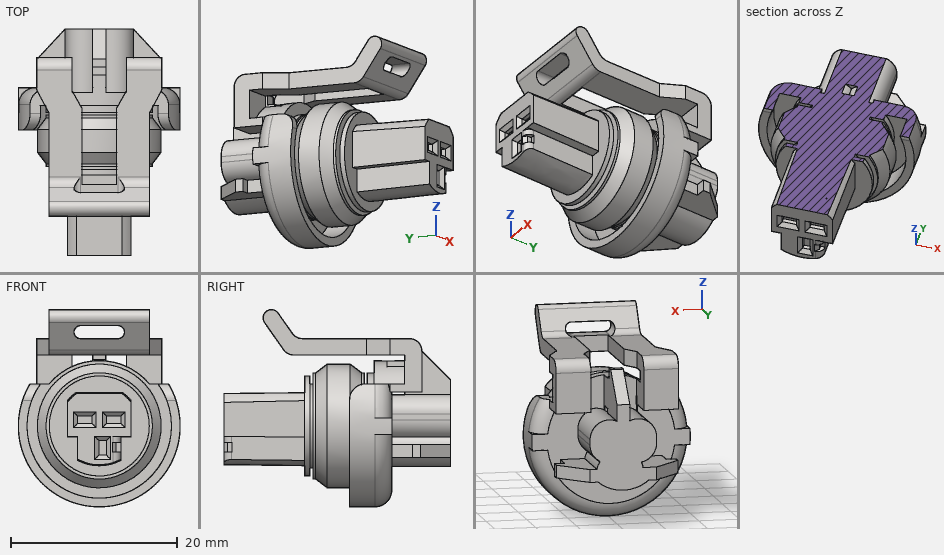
import cadquery as cq
import math


overall_length = 27.2
shell_rear = 7.05
shell_floor = 9.17
shell_front = 12.14
shell_radius = 9.715
shell_bore_radius = 8.66
shell_rear_fillet = 2.05
shell_cut_height = 5.05
shell_tip_fillet = 1.97
collar_radius = 7.84
neck_radius = 5.05
ring_radius = 12.75 / 2
seal_radius = 14.85 / 2
flange_radius = 12.0 / 2
ring_front = 10.03
seal_rear = 10.34
seal_lip_length = 0.33
seal_cone_length = 1.38
seal_front = 16.51
flange_rear = 16.88
nose_start = 17.5
side_key_width = 1.97
side_key_z = -0.05

housing_radius = 2.32
upper_housing_flat = 0.71
lower_housing_flat = 1.1
base_radius = 4.9
upper_housing_x = 1.76
upper_housing_z = 1.075
lower_housing_x = 0.41
lower_housing_z = -2.63

rib_width = 1.56
rib_slope_length = 3.62
rib_crest_length = 0.98
rib_step_drop = 1.22
rib_step_end = 5.52
top_rib_base = 5.54
top_rib_crest = top_rib_base + rib_slope_length
side_rib_base = 4.08
side_rib_crest = 7.45
side_rib_z = -3.01

arm_rear = 3.45
arm_thickness = 1.99
arm_leg_thickness = rib_step_end - arm_rear
arm_top = 10.48
arm_bend_radius = 1.47
arm_rear_outer_x = 7.51
arm_rear_inner_x = 3.24
arm_front_outer_x = 6.03
arm_front_inner_x = 2.09
outer_taper_start = 7.3
outer_taper_end = 10.09
inner_taper_start = 7.47
inner_taper_end = 9.5
arm_gap_front = 18.69
foot_bottom = 4.06
collar_gap_front = 7.63
collar_gap_floor = 1.43
lever_angle = math.radians(55)
lever_tip_radius = 1.0
lever_tip_depth = 21.5
lever_top = 13.955
lever_bend_radius = 1.5
lever_slot_length = 6.03
lever_slot_height = 1.54

nose_half_width = 3.82
nose_keel_half_width = 2.59
nose_root_radius, nose_tip_radius = 4.88, 4.75
nose_root_top, nose_tip_top = 4.0, 3.9
nose_root_ledge, nose_tip_ledge = -1.35, -1.24
nose_root_keel, nose_tip_keel = -4.78, -4.66
keel_radius = 5.5
keel_edge_radius = 0.92

opening_long = 2.74
opening_short = 1.9
lead_in = 0.49
opening_depth = 1.0
upper_opening_x = 1.73
upper_opening_z = 0.74

notch_inner_x = 1.58
notch_wall_x = 2.03
notch_bottom = -3.14
notch_top = -2.0
notch_depth = 1.0


def plane_at(depth):
    """Workplane across the body axis; its extrusions run toward the nose."""
    return cq.Workplane("XZ", origin=(0, -depth, 0))


def box(x_range, depth_range, z_range):
    x0, x1 = x_range
    d0, d1 = depth_range
    z0, z1 = z_range
    return cq.Workplane("XY").box(x1 - x0, d1 - d0, z1 - z0, centered=False).translate((x0, -d1, z0))


def disc(radius, start, end):
    return plane_at(start).circle(radius).extrude(end - start)


def both_sides(body):
    return body.union(body.mirror("YZ"))


def shell():
    cup = disc(shell_radius, shell_rear, shell_front).faces(">Y").edges().fillet(shell_rear_fillet)
    cup = cup.cut(disc(shell_bore_radius, shell_floor, shell_front))
    above = box((-shell_radius, shell_radius), (shell_rear, shell_front), (shell_cut_height, shell_radius))
    cup = cup.cut(above)
    corner = box(
        (-shell_radius, shell_radius),
        (shell_front - shell_tip_fillet, shell_front),
        (shell_cut_height - shell_tip_fillet, shell_cut_height),
    )
    round_over = (
        cq.Workplane("YZ", origin=(-shell_radius, 0, 0))
        .center(shell_tip_fillet - shell_front, shell_cut_height - shell_tip_fillet)
        .circle(shell_tip_fillet)
        .extrude(2 * shell_radius)
    )
    cup = cup.cut(corner.cut(round_over))
    side_keys = box(
        (-shell_radius, shell_radius),
        (shell_rear, shell_floor),
        (side_key_z - side_key_width / 2, side_key_z + side_key_width / 2),
    )
    return cup.union(side_keys.intersect(disc(shell_radius, shell_rear, shell_floor)))


def collar():
    ring = disc(collar_radius, rib_step_end, shell_floor)
    lower_part = box(
        (-collar_radius, collar_radius), (rib_step_end, shell_rear), (-collar_radius, foot_bottom)
    )
    return ring.cut(lower_part)


def seal_and_flange():
    cone_start = seal_rear + seal_lip_length
    cone_end = seal_front - seal_lip_length
    profile = [
        (0, shell_floor),
        (ring_radius, shell_floor),
        (ring_radius, ring_front),
        (neck_radius, ring_front),
        (neck_radius, seal_rear),
        (ring_radius, seal_rear),
        (ring_radius, cone_start),
        (seal_radius, cone_start + seal_cone_length),
        (seal_radius, cone_end - seal_cone_length),
        (ring_radius, cone_end),
        (ring_radius, seal_front),
        (neck_radius, seal_front),
        (neck_radius, flange_rear),
        (flange_radius, flange_rear),
        (flange_radius, nose_start),
        (0, nose_start),
    ]
    points = [(radius, -depth) for radius, depth in profile]
    return cq.Workplane("XY").polyline(points).close().revolve(360, (0, 0, 0), (0, 1, 0))


def wire_housings():
    upper = (
        plane_at(0)
        .pushPoints([(-upper_housing_x, upper_housing_z), (upper_housing_x, upper_housing_z)])
        .slot2D(2 * housing_radius + upper_housing_flat, 2 * housing_radius, 90)
        .extrude(shell_floor)
    )
    lower = (
        plane_at(0)
        .center(lower_housing_x, lower_housing_z)
        .slot2D(2 * housing_radius + lower_housing_flat, 2 * housing_radius)
        .extrude(shell_floor)
    )
    below_ribs = box((-base_radius, base_radius), (0, shell_floor), (-base_radius, side_rib_z))
    base = disc(base_radius, 0, shell_floor).intersect(below_ribs)
    lower = lower.intersect(disc(base_radius, 0, shell_floor))
    return upper.union(lower).union(base)


def rib_outline(base, crest, end_depth):
    """Outline (depth, height) of a rib that slopes up to a crest and then steps down."""
    crest_end = rib_slope_length + rib_crest_length
    step = crest - rib_step_drop
    return [
        (0, 0),
        (0, base),
        (rib_slope_length, crest),
        (crest_end, crest),
        (crest_end, step),
        (end_depth, step),
        (end_depth, 0),
    ]


def locating_ribs():
    top_outline = rib_outline(top_rib_base, top_rib_crest, rib_step_end)
    top = (
        cq.Workplane("YZ")
        .polyline([(-depth, height) for depth, height in top_outline])
        .close()
        .extrude(rib_width / 2, both=True)
    )
    side_outline = rib_outline(side_rib_base, side_rib_crest, shell_floor)
    side = (
        cq.Workplane("XY", origin=(0, 0, side_rib_z))
        .polyline([(-height, -depth) for depth, height in side_outline])
        .close()
        .extrude(rib_width / 2, both=True)
    )
    return top.union(both_sides(side))


def latch_profile():
    """Side outline of the latch extruded across the full arm width."""
    arm_bottom = arm_top - arm_thickness
    tip_z = lever_top - lever_tip_radius
    across_depth = lever_tip_radius * math.sin(lever_angle)
    across_z = lever_tip_radius * math.cos(lever_angle)
    upper_tangent = (lever_tip_depth - across_depth, tip_z + across_z)
    lower_tangent = (lever_tip_depth + across_depth, tip_z - across_z)
    tip_end = (
        lever_tip_depth + lever_tip_radius * math.cos(lever_angle),
        tip_z + lever_tip_radius * math.sin(lever_angle),
    )
    upper_bend = upper_tangent[0] - (upper_tangent[1] - arm_top) / math.tan(lever_angle)
    lower_bend = lower_tangent[0] - (lower_tangent[1] - arm_bottom) / math.tan(lever_angle)
    leg_front = arm_rear + arm_leg_thickness

    def point(depth, z):
        return (-depth, z)

    outline = (
        cq.Workplane("YZ", origin=(-arm_rear_outer_x, 0, 0))
        .moveTo(*point(arm_rear, foot_bottom))
        .lineTo(*point(arm_rear, arm_top))
        .lineTo(*point(upper_bend, arm_top))
        .lineTo(*point(*upper_tangent))
        .threePointArc(point(*tip_end), point(*lower_tangent))
        .lineTo(*point(lower_bend, arm_bottom))
        .lineTo(*point(leg_front, arm_bottom))
        .lineTo(*point(leg_front, shell_cut_height))
        .lineTo(*point(shell_floor, shell_cut_height))
        .lineTo(*point(shell_floor, foot_bottom))
        .close()
        .extrude(2 * arm_rear_outer_x)
    )
    bends = [(arm_rear, arm_top, arm_bend_radius)]
    bends += [(upper_bend, arm_top, lever_bend_radius), (lower_bend, arm_bottom, lever_bend_radius)]
    for depth, z, radius in bends:
        outline = outline.edges(cq.selectors.NearestToPointSelector((0, -depth, z))).fillet(radius)
    return outline


def latch_plan():
    """Plan of the latch: two tapering arms that meet at the lever."""
    lever_end = lever_tip_depth + lever_tip_radius
    half_plan = [
        (arm_rear_inner_x, arm_rear),
        (arm_rear_outer_x, arm_rear),
        (arm_rear_outer_x, outer_taper_start),
        (arm_front_outer_x, outer_taper_end),
        (arm_front_outer_x, lever_end),
        (0, lever_end),
        (0, arm_gap_front),
        (arm_front_inner_x, arm_gap_front),
        (arm_front_inner_x, inner_taper_end),
        (arm_rear_inner_x, inner_taper_start),
    ]
    plan = cq.Workplane("XY", origin=(0, 0, foot_bottom))
    plan = plan.polyline([(x, -depth) for x, depth in half_plan]).close()
    return both_sides(plan.extrude(lever_top - foot_bottom))


def latch():
    slot = (
        plane_at(inner_taper_end)
        .center(0, arm_top + lever_slot_height / 2)
        .slot2D(lever_slot_length, lever_slot_height)
        .extrude(overall_length - inner_taper_end)
    )
    return latch_profile().intersect(latch_plan()).cut(slot)


def nose_section(plane, radius, top, ledge, keel):
    """T outline whose upper corners lie on a circle about the body axis and whose keel is rounded."""
    top_half_width = math.sqrt(radius**2 - top**2)
    shoulder = math.sqrt(radius**2 - nose_half_width**2)
    keel_side = keel + keel_radius - math.sqrt(keel_radius**2 - nose_keel_half_width**2)
    corner_middle = radius * math.sqrt(0.5)
    return (
        plane.moveTo(-nose_half_width, ledge)
        .lineTo(-nose_half_width, shoulder)
        .threePointArc((-corner_middle, corner_middle), (-top_half_width, top))
        .lineTo(top_half_width, top)
        .threePointArc((corner_middle, corner_middle), (nose_half_width, shoulder))
        .lineTo(nose_half_width, ledge)
        .lineTo(nose_keel_half_width, ledge)
        .lineTo(nose_keel_half_width, keel_side)
        .threePointArc((0, keel), (-nose_keel_half_width, keel_side))
        .lineTo(-nose_keel_half_width, ledge)
        .close()
    )


def nose_blank():
    root_plane = plane_at(nose_start)
    root = nose_section(root_plane, nose_root_radius, nose_root_top, nose_root_ledge, nose_root_keel)
    tip_plane = root.workplane(offset=overall_length - nose_start)
    tip = nose_section(tip_plane, nose_tip_radius, nose_tip_top, nose_tip_ledge, nose_tip_keel)
    return tip.loft(ruled=True, combine=True)


def contact_opening(x, z, width, height):
    """Opening with a tapered lead-in at the nose tip."""
    mouth = cq.Workplane("XZ", origin=(x, -overall_length, z)).rect(width, height)
    throat_size = (width - 2 * lead_in, height - 2 * lead_in)
    funnel = mouth.workplane(offset=-lead_in).rect(*throat_size).loft(ruled=True, combine=True)
    throat = cq.Workplane("XZ", origin=(x, -overall_length, z)).rect(*throat_size).extrude(-opening_depth)
    return funnel.union(throat)


def keel_edge_rounding():
    """Material removed to round the edge between the nose tip and the +X keel side."""
    x_range = (nose_keel_half_width - keel_edge_radius, nose_keel_half_width)
    depth_range = (overall_length - keel_edge_radius, overall_length)
    corner = box(x_range, depth_range, (nose_root_keel, nose_tip_ledge))
    rounding = (
        cq.Workplane("XY", origin=(0, 0, nose_root_keel))
        .center(x_range[0], keel_edge_radius - overall_length)
        .circle(keel_edge_radius)
        .extrude(nose_tip_ledge - nose_root_keel)
    )
    return corner.cut(rounding)


def keel_notch():
    """Notch that starts with a 45 degree slope and then drops straight to its floor."""
    floor = notch_depth - overall_length
    slope_end = notch_wall_x - notch_inner_x - overall_length
    return (
        cq.Workplane("XY", origin=(0, 0, notch_bottom))
        .moveTo(notch_inner_x, -overall_length)
        .lineTo(notch_wall_x, slope_end)
        .lineTo(notch_wall_x, floor)
        .lineTo(nose_keel_half_width, floor)
        .lineTo(nose_keel_half_width, -overall_length)
        .close()
        .extrude(notch_top - notch_bottom)
    )


def nose():
    body = nose_blank().cut(keel_edge_rounding()).cut(keel_notch())
    for x in (-upper_opening_x, upper_opening_x):
        body = body.cut(contact_opening(x, upper_opening_z, opening_long, opening_short))
    return body.cut(contact_opening(lower_housing_x, lower_housing_z, opening_short, opening_long))


def collar_gaps():
    """Clearances behind the collar, between the top rib and the feet of the latch arms."""
    gap = box(
        (rib_width / 2, arm_rear_inner_x), (0, collar_gap_front), (collar_gap_floor, collar_radius)
    )
    return both_sides(gap)


result = shell().union(collar()).cut(collar_gaps())
for feature in (seal_and_flange(), wire_housings(), locating_ribs(), latch(), nose()):
    result = result.union(feature)